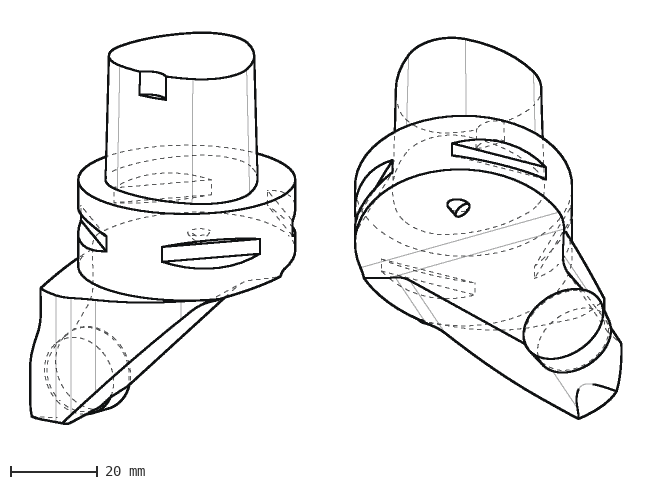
import cadquery as cq
import math


shank_length = 30.0
lobe_reach = 18.7
flank_reach = 16.3
lobe_radius = 11.8
shank_shrink = shank_length / 40
lobe_offset = lobe_reach - lobe_radius
flank_radius = (
    (flank_reach**2 + lobe_offset**2 - flank_reach * lobe_offset - lobe_radius**2)
    / (2 * flank_reach - lobe_offset - 2 * lobe_radius)
)
notch_radius = 4.5
notch_apex_y = -13.75
notch_depth = 5.6

flange_radius = 25.0
flange_height = 21.0
slot_floor_distance = 22.15
slot_floor_width = 3.6
slot_center_z = -10.0
slot_side_angle = 30.0
back_edge_z = -16.0
back_angle = 5.0
right_edge_z = -19.3
right_angle = 15.0

insert_x = -25.0
insert_z = -50.0
insert_radius = 10.0
insert_thickness = 6.35
insert_clearance = 7.0

head_front_y = -0.5
head_rear_y = -28.64
front_root_radius = 3.0
tip_radius = 8.6
neck_lean = 30.0
underside_lean = 45.0
side_lean = 2.1
side_exit_z = -19.4
neck_arc_top_z = -28.4
neck_arc_bottom_z = -34.1
underside_radius = 8.0
shoulder_angle = 15.0
left_arc_center = (-7.4, -0.55)
left_arc_radius = 29.4
left_corner_radius = 12.0
right_arc_x = -7.5
right_arc_radius = 33.0
right_arc_end_x = 11.7
heel_radius = 70.0
heel_center_z = 10.3

nozzle_diameter = 4.0
nozzle_tip = cq.Vector(-5.0, 12.1, -18.4)
nozzle_length = 6.0

margin = 5.0
reach = 80.0


def polar(center, radius, angle):
    """Point at an angle in degrees from a centre."""
    return (
        center[0] + radius * math.cos(math.radians(angle)),
        center[1] + radius * math.sin(math.radians(angle)),
    )


def toward(start, end, distance):
    """Point at a distance from start on the way to end."""
    span = math.dist(start, end)
    return (
        start[0] + (end[0] - start[0]) * distance / span,
        start[1] + (end[1] - start[1]) * distance / span,
    )


def rounded_corner(before, corner, after, radius):
    """Start, middle and end of the arc that rounds a corner."""
    to_before = math.atan2(before[1] - corner[1], before[0] - corner[0])
    to_after = math.atan2(after[1] - corner[1], after[0] - corner[0])
    half_angle = math.acos(math.cos(to_before - to_after)) / 2
    setback = radius / math.tan(half_angle)
    start = toward(corner, before, setback)
    end = toward(corner, after, setback)
    chord_middle = ((start[0] + end[0]) / 2, (start[1] + end[1]) / 2)
    middle = toward(corner, chord_middle, radius / math.sin(half_angle) - radius)
    return start, middle, end


def polygon_section(z, shrink):
    """Three lobes and three flanks, all tangent arcs, one lobe at +Y."""
    flank_center_offset = flank_radius - flank_reach
    lobe_center = (0, lobe_offset)
    flank_center = polar((0, 0), flank_center_offset, -30)
    join_angle = math.degrees(
        math.atan2(lobe_center[1] - flank_center[1], lobe_center[0] - flank_center[0])
    )
    join = polar(lobe_center, lobe_radius - shrink, join_angle)
    join_distance = math.hypot(*join)
    half_lobe = math.degrees(math.atan2(join[1], join[0])) - 90
    wire = cq.Workplane("XY", origin=(0, 0, z)).moveTo(*polar((0, 0), join_distance, 90 - half_lobe))
    for lobe_angle in (90, 210, 330):
        wire = wire.threePointArc(
            polar((0, 0), lobe_reach - shrink, lobe_angle),
            polar((0, 0), join_distance, lobe_angle + half_lobe),
        )
        wire = wire.threePointArc(
            polar((0, 0), flank_reach - shrink, lobe_angle + 60),
            polar((0, 0), join_distance, lobe_angle + 120 - half_lobe),
        )
    return wire.close().val()


def make_shank():
    sections = [polygon_section(0, 0), polygon_section(shank_length, shank_shrink)]
    shank = cq.Workplane(cq.Solid.makeLoft(sections, True))
    notch = (
        cq.Workplane("XY", origin=(0, notch_apex_y - notch_radius, shank_length - notch_depth))
        .circle(notch_radius)
        .extrude(notch_depth + margin)
    )
    return shank.cut(notch)


def gripper_slot(angle):
    """Trapezoid slot across the flange rim, facing the given direction."""
    depth = flange_radius + margin - slot_floor_distance
    half_floor = slot_floor_width / 2
    half_mouth = half_floor + depth * math.tan(math.radians(slot_side_angle))
    return (
        cq.Workplane("XZ")
        .polyline([
            (slot_floor_distance, slot_center_z - half_floor),
            (slot_floor_distance + depth, slot_center_z - half_mouth),
            (slot_floor_distance + depth, slot_center_z + half_mouth),
            (slot_floor_distance, slot_center_z + half_floor),
        ])
        .close()
        .extrude(flange_radius, both=True)
        .rotate((0, 0, 0), (0, 0, 1), angle)
    )


def make_flange():
    flange = cq.Workplane("XY").circle(flange_radius).extrude(-flange_height)
    for angle in (45, 135, 225, 315):
        flange = flange.cut(gripper_slot(angle))
    return flange


def head_plan():
    """Outline of the head seen along the axis, extruded over its full height."""
    corner_y = head_rear_y + left_corner_radius
    corner_gap = left_arc_radius - left_corner_radius
    corner_x = left_arc_center[0] - math.sqrt(corner_gap**2 - (corner_y - left_arc_center[1])**2)
    corner_center = (corner_x, corner_y)
    corner_angle = math.degrees(
        math.atan2(corner_y - left_arc_center[1], corner_x - left_arc_center[0])
    )
    corner_start = polar(left_arc_center, left_arc_radius, corner_angle)
    corner_middle = polar(corner_center, left_corner_radius, (corner_angle - 90) / 2)

    left_angle = 180 - math.degrees(math.asin((head_front_y - left_arc_center[1]) / left_arc_radius))
    left_start = polar(left_arc_center, left_arc_radius, left_angle)
    left_middle = polar(left_arc_center, left_arc_radius, (left_angle + corner_angle + 360) / 2)

    right_center = (right_arc_x, head_rear_y + right_arc_radius)
    turn = math.degrees(math.asin((right_arc_end_x - right_arc_x) / right_arc_radius))
    right_middle = polar(right_center, right_arc_radius, -90 + turn / 2)
    right_end = polar(right_center, right_arc_radius, -90 + turn)
    tangent_end = polar(right_end, (flange_radius - right_end[0]) / math.cos(math.radians(turn)), turn)

    return (
        cq.Workplane("XY", origin=(0, 0, insert_z - insert_radius))
        .moveTo(*left_start)
        .threePointArc(left_middle, corner_start)
        .threePointArc(corner_middle, (corner_x, head_rear_y))
        .lineTo(right_arc_x, head_rear_y)
        .threePointArc(right_middle, right_end)
        .lineTo(*tangent_end)
        .lineTo(flange_radius, head_front_y)
        .close()
        .extrude(insert_radius - insert_z)
    )


def side_outline():
    """Outline in X and Z that trims the flange and the head, extruded along Y."""
    tip_center = (insert_x, insert_z)
    neck_tangent = polar(tip_center, tip_radius, 180 - neck_lean)
    underside_tangent = polar(tip_center, tip_radius, -underside_lean)
    tip_middle = polar(tip_center, tip_radius, 180 + (90 - neck_lean + underside_lean) / 2)

    neck_rise = neck_arc_bottom_z - neck_tangent[1]
    neck_arc_bottom = (
        neck_tangent[0] + neck_rise * math.tan(math.radians(neck_lean)),
        neck_arc_bottom_z,
    )
    side_slope = math.tan(math.radians(side_lean))
    neck_arc_top = (-flange_radius + (side_exit_z - neck_arc_top_z) * side_slope, neck_arc_top_z)
    side_top = (-flange_radius + side_exit_z * side_slope, 0)

    slope = math.tan(math.radians(right_angle))
    rise = math.tan(math.radians(90 - underside_lean))
    outer_x = flange_radius + margin
    outer = (outer_x, right_edge_z + margin * slope)
    corner_x = (right_edge_z - flange_radius * slope - underside_tangent[1]
                + rise * underside_tangent[0]) / (rise - slope)
    corner = (corner_x, underside_tangent[1] + rise * (corner_x - underside_tangent[0]))
    round_start, round_middle, round_end = rounded_corner(
        underside_tangent, corner, outer, underside_radius
    )
    return (
        cq.Workplane("XZ")
        .moveTo(*side_top)
        .lineTo(*neck_arc_top)
        .tangentArcPoint(neck_arc_bottom, relative=False)
        .lineTo(*neck_tangent)
        .threePointArc(tip_middle, underside_tangent)
        .lineTo(*round_start)
        .threePointArc(round_middle, round_end)
        .lineTo(*outer)
        .lineTo(outer_x, 0)
        .close()
        .extrude(reach, both=True)
    )


def shoulder_cone():
    """Space below the conical shoulder that falls away from the flange edge."""
    height = insert_radius - insert_z - flange_height
    base_radius = flange_radius + height / math.tan(math.radians(shoulder_angle))
    return cq.Workplane(
        cq.Solid.makeCone(base_radius, flange_radius, height, cq.Vector(0, 0, insert_z - insert_radius))
    )


def heel_cylinder():
    """Large X-axis cylinder that rounds the head bottom toward the rear."""
    return (
        cq.Workplane("YZ", origin=(-reach, 0, 0))
        .center(0, heel_center_z)
        .circle(heel_radius)
        .extrude(2 * reach)
    )


def front_clearance():
    """Space in front of the head and under the +Y half of the flange."""
    slope = math.tan(math.radians(back_angle))
    outer = (flange_radius + margin, back_edge_z + margin * slope)
    corner = (head_front_y, back_edge_z - (flange_radius - head_front_y) * slope)
    bottom = (head_front_y, -reach)
    round_start, round_middle, round_end = rounded_corner(bottom, corner, outer, front_root_radius)
    return (
        cq.Workplane("YZ", origin=(-reach, 0, 0))
        .moveTo(*bottom)
        .lineTo(*round_start)
        .threePointArc(round_middle, round_end)
        .lineTo(*outer)
        .lineTo(outer[0], -reach)
        .close()
        .extrude(2 * reach)
    )


def make_nozzle():
    """Coolant nozzle under the flange, aimed at the insert centre."""
    inward = (nozzle_tip - cq.Vector(insert_x, 0, insert_z)).normalized()
    return cq.Workplane(
        cq.Solid.makeCylinder(nozzle_diameter / 2, nozzle_length, nozzle_tip, inward)
    )


def make_insert():
    """Round insert with a relief cone; its cutting face lies at Y = 0."""
    seat_radius = insert_radius - insert_thickness * math.tan(math.radians(insert_clearance))
    return cq.Workplane(
        cq.Solid.makeCone(
            insert_radius, seat_radius, insert_thickness,
            cq.Vector(insert_x, 0, insert_z), cq.Vector(0, -1, 0),
        )
    )


def make_holder(insert):
    head = head_plan().intersect(shoulder_cone()).intersect(heel_cylinder())
    holder = make_flange().union(head)
    holder = holder.intersect(side_outline()).cut(front_clearance())
    return holder.union(make_shank()).union(make_nozzle()).cut(insert)


insert = make_insert()
holder = make_holder(insert)

result = cq.Compound.makeCompound([holder.val(), insert.val()])